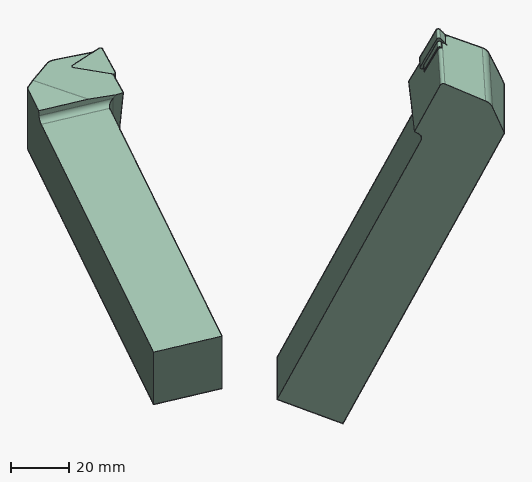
import cadquery as cq
import math

length = 149.5
shank_width = 25.0
head_top = 29.0
overall_width = 32.0

rake_angle = math.radians(5.0)
rake_slope = math.tan(rake_angle)
rake_normal = cq.Vector(-rake_slope, rake_slope, 1.0)
rake_line_offset = 8.4

head_left = 3.7
head_back = 28.5
back_corner_radius = 1.2
left_face_angle = math.radians(3.0)
bevel_start = 14.3
bevel_corner_radius = 5.0

blend_end = 29.1
blend_radius = 2.4
wall_draft = math.radians(10.0)

insert_side = 16.5
insert_thickness = 4.8
nose_radius = 0.7
seat_inset = 0.7
seat_thickness = 2.8

clearance = 7.5


def rake_height(x, y):
    return head_top + rake_slope * (x - y - rake_line_offset)


def triangle_prism(plane, inset, start_depth, thickness):
    """Equilateral prism with rounded corners, below the plane by start_depth."""
    half = insert_side / 2 - inset * math.sqrt(3)
    back = -inset
    apex = back - half * math.sqrt(3)
    return (
        cq.Workplane(plane)
        .workplane(offset=-start_depth)
        .polyline([(-half, back), (half, back), (0, apex)])
        .close()
        .extrude(-thickness)
        .edges(cq.selectors.ParallelDirSelector(plane.zDir))
        .fillet(nose_radius)
    )


def leaning_head():
    """Oversize head, its outline swept upward along the direction normal to the rake face."""
    slant = math.tan(left_face_angle)
    corner_y = (bevel_start - head_left - head_back * slant) / (1 - slant)
    corner_x = bevel_start - corner_y
    outline = (
        cq.Workplane("XY")
        .polyline([
            (bevel_start + clearance, -clearance),
            (blend_end + clearance, -clearance),
            (blend_end + clearance, head_back),
            (head_left, head_back),
            (corner_x, corner_y),
        ])
        .close()
        .wire()
        .val()
    )
    sweep = rake_normal * (head_top + clearance)
    head = cq.Workplane(cq.Solid.extrudeLinear(outline, [], sweep))
    rounds = [(corner_x, corner_y, bevel_corner_radius), (head_left, head_back, back_corner_radius)]
    for x, y, radius in rounds:
        edge_middle = (x + sweep.x / 2, y + sweep.y / 2, sweep.z / 2)
        head = head.edges(cq.selectors.NearestToPointSelector(edge_middle)).fillet(radius)
    return head


def blend_profile(plane):
    """Filled profile left of the drafted head wall and its root arc."""
    top = overall_width + clearance
    centre_height = shank_width + blend_radius
    tangent_x = blend_end - blend_radius * math.cos(wall_draft)
    tangent_height = centre_height - blend_radius * math.sin(wall_draft)
    middle = (math.pi / 2 - wall_draft) / 2
    arc_middle = (
        blend_end - blend_radius * math.sin(middle),
        centre_height - blend_radius * math.cos(middle),
    )
    return (
        cq.Workplane(plane)
        .moveTo(-clearance, 0)
        .lineTo(blend_end, 0)
        .lineTo(blend_end, shank_width)
        .threePointArc(arc_middle, (tangent_x, tangent_height))
        .lineTo(tangent_x - (top - tangent_height) * math.tan(wall_draft), top)
        .lineTo(-clearance, top)
        .close()
    )


def rake_trim():
    """Everything under the rake face."""
    plane = cq.Plane((rake_line_offset, 0, head_top), (1, 0, rake_slope), rake_normal.toTuple())
    return cq.Workplane(plane).rect(length, length).extrude(-length / 2)


def make_holder(insert, seat):
    reach = overall_width + clearance
    top_blend = blend_profile("XZ").extrude(-reach)
    back_blend = blend_profile("XY").extrude(reach)
    flat_top = cq.Workplane("XY").box(length, length, head_top, centered=(True, True, False))
    head = leaning_head().intersect(top_blend).intersect(back_blend)
    head = head.intersect(flat_top).intersect(rake_trim())
    shank = cq.Workplane("XY").box(length - blend_end, shank_width, shank_width, centered=False)
    shank = shank.translate((blend_end, 0, 0))
    return head.union(shank).union(seat).cut(insert)


nose_setback = nose_radius * (math.sqrt(3) - 1)
edge_x = (insert_side / 2 - nose_setback) * math.cos(rake_angle)
insert_plane = cq.Plane(
    (edge_x, overall_width, rake_height(edge_x, overall_width)),
    (1, 0, rake_slope),
    rake_normal.toTuple(),
)

insert = triangle_prism(insert_plane, 0, 0, insert_thickness)
seat = triangle_prism(insert_plane, seat_inset, insert_thickness, seat_thickness)
holder = make_holder(insert, seat)

result = cq.Compound.makeCompound([*holder.solids().vals(), *insert.solids().vals()])